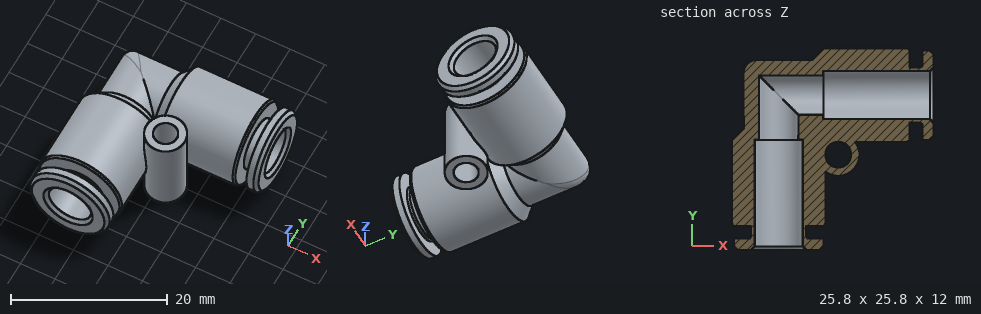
import cadquery as cq

tube_radius = 4.5
body_radius = 6.0
neck_radius = 3.55
flare_radius = 3.75
collar_radius = 5.75
mouth_radius = 3.55
socket_radius = 3.05
bore_radius = 2.5

cone_start = 4.2
cone_end = 5.7
body_end = 16.75
flare_start = 18.0
collar_start = 18.3
leg_end = 19.8
socket_floor = cone_end

body_chamfer_length = 0.3
body_chamfer_depth = 0.2
collar_chamfer = 0.5
mouth_chamfer = mouth_radius - socket_radius
corner_fillet = 1.5

eyelet_radius = 2.75
eyelet_hole_radius = 1.6
eyelet_offset = body_radius + eyelet_hole_radius
eyelet_height = 2 * body_radius


def revolve_about_x(points):
    """Revolve a closed (distance, radius) outline about the X axis."""
    return cq.Workplane("XY").polyline(points).close().revolve(360, (0, 0, 0), (1, 0, 0))


def mitred_pair(leg):
    """Trim a +X leg on the 45 degree plane y = -x and join it to its -Y twin."""
    block_size = 4 * leg_end
    half_space = (
        cq.Workplane("XY")
        .box(block_size, block_size, block_size, centered=(False, True, True))
        .rotate((0, 0, 0), (0, 0, 1), 45)
    )
    x_leg = leg.intersect(half_space)
    y_leg = x_leg.rotate((0, 0, 0), (1, -1, 0), 180)
    return x_leg.union(y_leg)


def rounded_corner():
    """Outer corner of the elbow: two crossing half cylinders with their mitre edge rounded."""
    along_x = (
        cq.Workplane("YZ")
        .moveTo(0, tube_radius)
        .threePointArc((tube_radius, 0), (0, -tube_radius))
        .close()
        .extrude(-tube_radius)
    )
    along_y = along_x.rotate((0, 0, 0), (1, -1, 0), 180)
    outer_corner = along_x.intersect(along_y)
    return outer_corner.edges("<(1, -1, 0)").fillet(corner_fillet)


def leg_bodies():
    """Plain tube, shoulder cone, body, neck and release collar of both legs."""
    leg = revolve_about_x([
        (0, 0),
        (0, tube_radius),
        (cone_start, tube_radius),
        (cone_end, body_radius),
        (body_end - body_chamfer_length, body_radius),
        (body_end, body_radius - body_chamfer_depth),
        (body_end, neck_radius),
        (flare_start, neck_radius),
        (collar_start, flare_radius),
        (collar_start, collar_radius),
        (leg_end - collar_chamfer, collar_radius),
        (leg_end, collar_radius - collar_chamfer),
        (leg_end, 0),
    ])
    return mitred_pair(leg)


def passages():
    """Through bore, tube socket and flared mouth of both legs."""
    passage = revolve_about_x([
        (-bore_radius, 0),
        (-bore_radius, bore_radius),
        (socket_floor, bore_radius),
        (socket_floor, socket_radius),
        (leg_end - mouth_chamfer, socket_radius),
        (leg_end, mouth_radius),
        (leg_end, 0),
    ])
    return mitred_pair(passage)


def eyelet_cylinder(radius):
    """Upright cylinder on the eyelet axis, as tall as the bodies."""
    return (
        cq.Workplane("XY", origin=(eyelet_offset, -eyelet_offset, -eyelet_height / 2))
        .circle(radius)
        .extrude(eyelet_height)
    )


fitting = rounded_corner().union(leg_bodies()).union(eyelet_cylinder(eyelet_radius))
result = fitting.cut(passages()).cut(eyelet_cylinder(eyelet_hole_radius))